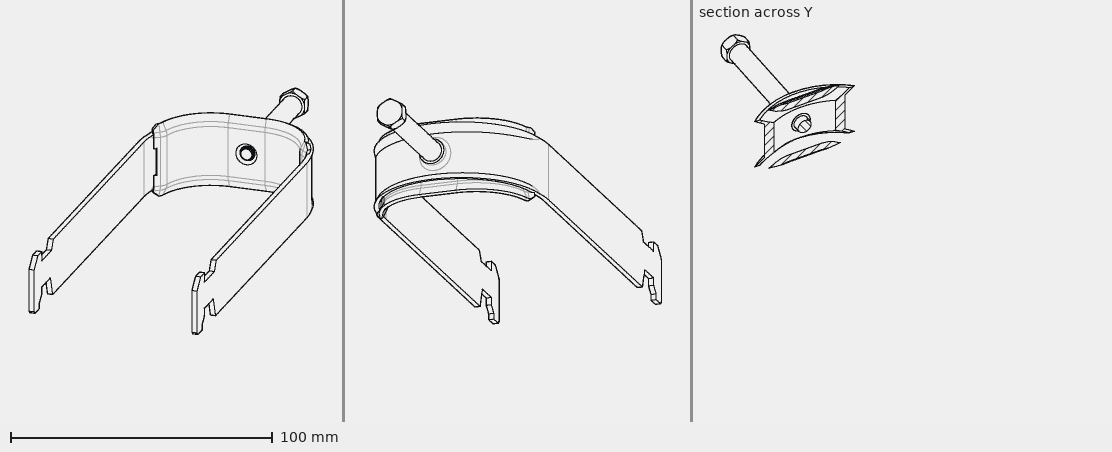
import cadquery as cq
import math


strap_width = 22.5
strap_thickness = 2.1
arch_radius = 34.0
arch_inner_radius = arch_radius - strap_thickness
leg_length = 127.7

lip_height = 3.6
lip_radius = 33.4
lip_shift = 3.8
flare_height = 4.5
flare_radius = 31.2
flare_shift = 4.7

tip_chamfer = 4.2
tip_small_chamfer = 1.0
hook_length = 9.0
hook_step_length = 6.2
hook_step_height = 2.3
hook_step_rise = 2.5
upper_notch_depth = 3.8
upper_notch_end = 20.2
upper_notch_start = 22.3
lower_notch_depth = 7.9
lower_notch_end = 19.0
lower_notch_start = 21.5

collar_diameter = 10.0
collar_height = 3.5
collar_fillet = 1.7

shank_diameter = 8.0
neck_diameter = 6.0
tip_diameter = 5.0
tip_end_chamfer = 0.32
bolt_top = 84.8
head_sides = 6
head_height = 4.7
head_across_flats = 10.0
head_chamfer = 0.6

saddle_width = 30.0
saddle_thickness = 1.5
saddle_crown = 27.2
saddle_flat_half = 7.5
saddle_radius = 20.0
saddle_arc_angle = 76
edge_bend_radius = 4.2
edge_bend_angle = 26
edge_flare_length = 3.5
end_bend_radius = 4.7
end_bend_angle = 40
end_flare_length = 2.5
end_corner = 2.1
end_notch_width = 11.0
end_notch_depth = 1.3
countersink_diameter = 8.5
countersink_depth = 1.0


def along_y(diameter, start, end):
    """Cylinder on the bolt axis between two Y positions."""
    return cq.Workplane("XZ", origin=(0, start, 0)).circle(diameter / 2).extrude(start - end)


def mirrored_pair(body, plane):
    """A shape joined with its mirror image."""
    return body.union(body.mirror(plane))


def half_disc(radius):
    """Arch half of a disc, as wide as the strap."""
    return (
        cq.Workplane("XY", origin=(0, 0, -strap_width / 2))
        .moveTo(-radius, 0)
        .threePointArc((0, radius), (radius, 0))
        .close()
        .extrude(strap_width)
    )


def leaning_cylinder(radius, height, shift):
    """Cylinder under the upper strap edge whose top circle is shifted towards the crown."""
    return (
        cq.Workplane("XY", origin=(0, 0, strap_width / 2 - height))
        .circle(radius)
        .workplane(offset=height)
        .center(0, shift)
        .circle(radius)
        .loft(ruled=True)
    )


def make_leg():
    """Right leg, from the arch down to its hooked end."""
    half = strap_width / 2
    tip = -leg_length
    upper_floor = half - upper_notch_depth
    lower_floor = -half + lower_notch_depth
    step_bottom = -half + hook_step_height
    points = [
        (0, half),
        (tip + upper_notch_start, half),
        (tip + upper_notch_end, upper_floor),
        (tip + hook_length, upper_floor),
        (tip + hook_length, half),
        (tip + tip_chamfer, half),
        (tip, half - tip_chamfer),
        (tip, -half + tip_small_chamfer),
        (tip + tip_small_chamfer, -half),
        (tip + hook_step_length, -half),
        (tip + hook_step_length, step_bottom),
        (tip + hook_length, step_bottom + hook_step_rise),
        (tip + hook_length, lower_floor),
        (tip + lower_notch_end, lower_floor),
        (tip + lower_notch_start, -half),
        (0, -half),
    ]
    side = cq.Workplane("YZ", origin=(arch_inner_radius, 0, 0))
    return side.polyline(points).close().extrude(strap_thickness)


def make_arch():
    """Arch with its flared lips and the collar around the bolt hole."""
    lip = leaning_cylinder(lip_radius, lip_height, lip_shift)
    flare = leaning_cylinder(flare_radius, flare_height, flare_shift)
    span = 2 * arch_radius
    collar_top = arch_radius + collar_height
    collar_root = (
        (-collar_diameter, arch_radius - collar_height, -collar_diameter / 2),
        (collar_diameter, arch_radius + collar_height / 2, collar_diameter / 2),
    )
    arch_side = cq.Workplane("XY").box(2 * span, span, strap_width, centered=(True, False, True))
    arch = half_disc(arch_radius).union(along_y(collar_diameter, arch_inner_radius, collar_top))
    arch = arch.edges(cq.selectors.BoxSelector(*collar_root)).fillet(collar_fillet)
    arch = arch.union(mirrored_pair(lip.intersect(arch_side), "XY"))
    arch = arch.cut(half_disc(arch_inner_radius)).cut(mirrored_pair(flare, "XY"))
    return arch.cut(along_y(shank_diameter, 0, bolt_top))


def make_strap():
    """Strap of one arch and two hooked legs."""
    return make_arch().union(mirrored_pair(make_leg(), "YZ"))


def make_bolt():
    """Hex bolt whose stepped end sits in the saddle."""
    half_facet = 180 / head_sides
    head_corner_diameter = head_across_flats / math.cos(math.radians(half_facet))
    head_base = bolt_top - head_height
    head = (
        cq.Workplane("XZ", origin=(0, bolt_top, 0))
        .polygon(head_sides, head_corner_diameter)
        .extrude(head_height)
        .rotate((0, 0, 0), (0, 1, 0), half_facet)
    )
    chamfered_blank = along_y(head_corner_diameter, head_base, bolt_top)
    chamfered_blank = chamfered_blank.faces("<Y or >Y").chamfer(head_chamfer)
    tip = along_y(tip_diameter, saddle_crown, saddle_crown + saddle_thickness)
    tip = tip.faces("<Y").chamfer(tip_end_chamfer)
    bolt = head.intersect(chamfered_blank)
    bolt = bolt.union(along_y(shank_diameter, arch_inner_radius, head_base))
    bolt = bolt.union(along_y(neck_diameter, saddle_crown + countersink_depth, arch_inner_radius))
    return bolt.union(tip)


def saddle_section(plane):
    """Plate section with both edges flared; local x runs outwards from the inner face."""
    angle = math.radians(edge_bend_angle)
    sin_a = math.sin(angle)
    cos_a = math.cos(angle)
    half_angle = angle / 2
    outer_bend = edge_bend_radius
    inner_bend = edge_bend_radius - saddle_thickness
    bend_start = saddle_width / 2 - outer_bend * sin_a - edge_flare_length * cos_a

    def on_bend(radius, turn):
        return (outer_bend - radius * math.cos(turn), bend_start + radius * math.sin(turn))

    face_mid = on_bend(outer_bend, half_angle)
    face_end = on_bend(outer_bend, angle)
    back_mid = on_bend(inner_bend, half_angle)
    back_end = on_bend(inner_bend, angle)
    run = edge_flare_length * sin_a
    rise = edge_flare_length * cos_a

    def down(point):
        return (point[0], -point[1])

    face_tip = (face_end[0] + run, face_end[1] + rise)
    back_tip = (back_end[0] + run, back_end[1] + rise)
    return (
        cq.Workplane(plane)
        .moveTo(0, -bend_start)
        .lineTo(0, bend_start)
        .threePointArc(face_mid, face_end)
        .lineTo(*face_tip)
        .lineTo(*back_tip)
        .lineTo(*back_end)
        .threePointArc(back_mid, (saddle_thickness, bend_start))
        .lineTo(saddle_thickness, -bend_start)
        .threePointArc(down(back_mid), down(back_end))
        .lineTo(*down(back_tip))
        .lineTo(*down(face_tip))
        .lineTo(*down(face_end))
        .threePointArc(down(face_mid), (0, -bend_start))
        .close()
    )


def section_plane(x, y, outward_angle):
    """Plane at a point of the inner face; local x points outwards and local y along +Z."""
    angle = math.radians(outward_angle)
    out_x = math.cos(angle)
    out_y = math.sin(angle)
    return cq.Plane(origin=(x, y, 0), xDir=(out_x, out_y, 0), normal=(out_y, -out_x, 0))


def end_flare_outline(plane):
    """Outline of one flared saddle end, seen along the plate thickness, as a tall prism."""
    half = saddle_width / 2
    half_notch = end_notch_width / 2
    notch_floor = end_flare_length - end_notch_depth
    points = [
        (0, -half),
        (end_flare_length, -half + end_corner),
        (end_flare_length, -half_notch),
        (notch_floor, -half_notch),
        (notch_floor, half_notch),
        (end_flare_length, half_notch),
        (end_flare_length, half - end_corner),
        (0, half),
    ]
    lengthwise = cq.Plane(origin=plane.origin, xDir=plane.zDir, normal=-plane.xDir)
    return cq.Workplane(lengthwise).polyline(points).close().extrude(saddle_width, both=True)


def make_saddle_half():
    """Right half: flat crown, arc, end bend and end flare, one after another."""
    arc_centre_y = saddle_crown - saddle_radius
    arc_end_direction = 90 - saddle_arc_angle
    arc_end = math.radians(arc_end_direction)
    bend_x = saddle_flat_half + saddle_radius * math.cos(arc_end)
    bend_y = arc_centre_y + saddle_radius * math.sin(arc_end)
    flare_direction = arc_end_direction + end_bend_angle
    flare_start = math.radians(flare_direction)
    flare_x = bend_x + end_bend_radius * (math.cos(arc_end) - math.cos(flare_start))
    flare_y = bend_y + end_bend_radius * (math.sin(arc_end) - math.sin(flare_start))

    crown_plane = section_plane(0, saddle_crown, 90)
    arc_plane = section_plane(saddle_flat_half, saddle_crown, 90)
    bend_plane = section_plane(bend_x, bend_y, arc_end_direction)
    flare_plane = section_plane(flare_x, flare_y, flare_direction)

    crown = saddle_section(crown_plane).extrude(saddle_flat_half)
    arc = saddle_section(arc_plane).revolve(saddle_arc_angle, (-saddle_radius, 2.1), (-saddle_radius, 0))
    bend = saddle_section(bend_plane).revolve(end_bend_angle, (end_bend_radius, 0), (end_bend_radius, 1))
    flare = saddle_section(flare_plane).extrude(end_flare_length)
    flare = flare.intersect(end_flare_outline(flare_plane))
    return crown.union(arc).union(bend).union(flare)


def make_saddle(strap):
    """Saddle whose back is relieved wherever it beds against the strap."""
    countersink = cq.Workplane("XZ", origin=(0, saddle_crown, 0)).circle(countersink_diameter / 2)
    countersink = countersink.workplane(offset=-countersink_depth).circle(neck_diameter / 2).loft()
    saddle = mirrored_pair(make_saddle_half(), "YZ")
    saddle = saddle.cut(along_y(neck_diameter, 0, arch_radius)).cut(countersink)
    return saddle.cut(strap)


strap = make_strap()
bolt = make_bolt()
saddle = make_saddle(strap)

result = cq.Compound.makeCompound([strap.val(), bolt.val(), saddle.val()])